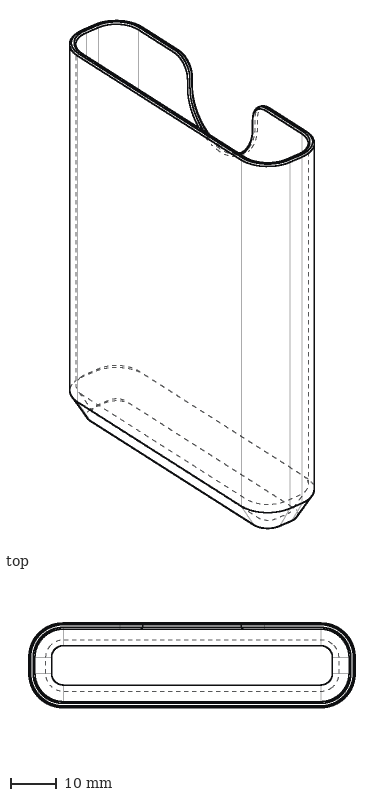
import cadquery as cq
import math

width = 71.3
depth = 18.5
height = 95.5
corner_radius = 7.5
taper_height = 6.3
taper_inset = 3.6

wall = 1.3
rim_chamfer = 0.4

notch_radius = 10.8
notch_flare = 5.0
notch_center_depth = 7.2


def rounded_section(inset):
    """Body outline with rounded corners, moved inwards by inset."""
    outline = cq.Sketch().rect(width - 2 * inset, depth - 2 * inset)
    return outline.vertices().fillet(corner_radius - inset)


def tapered_sleeve(inset, foot_z):
    """Solid from foot_z up to the rim, tapering out from the foot to the shoulder."""
    side = rounded_section(inset)
    foot = rounded_section(inset + taper_inset).moved(cq.Location(cq.Vector(0, 0, -taper_height)))
    shoulder_z = foot_z + taper_height
    shoulder = cq.Workplane("XY").workplane(offset=shoulder_z)
    upper = shoulder.placeSketch(side).extrude(height - shoulder_z)
    lower = shoulder.placeSketch(foot, side).loft()
    return upper.union(lower)


def notch_cutter():
    """Slot through the +Y wall, widening in tangent arcs at the rim."""
    center_z = height - notch_center_depth
    flare_z = height - notch_flare
    flare_mid = notch_flare * (1 - math.sqrt(0.5))
    rim_half = notch_radius + notch_flare
    profile = (
        cq.Workplane("XZ")
        .moveTo(-rim_half, height)
        .threePointArc((-notch_radius - flare_mid, height - flare_mid), (-notch_radius, flare_z))
        .lineTo(-notch_radius, center_z)
        .threePointArc((0, center_z - notch_radius), (notch_radius, center_z))
        .lineTo(notch_radius, flare_z)
        .threePointArc((notch_radius + flare_mid, height - flare_mid), (rim_half, height))
        .close()
    )
    return profile.extrude(-depth)


body = tapered_sleeve(0, 0)
cavity = tapered_sleeve(wall, wall)
result = body.cut(cavity).cut(notch_cutter())
result = result.faces(">Z").edges().chamfer(rim_chamfer)